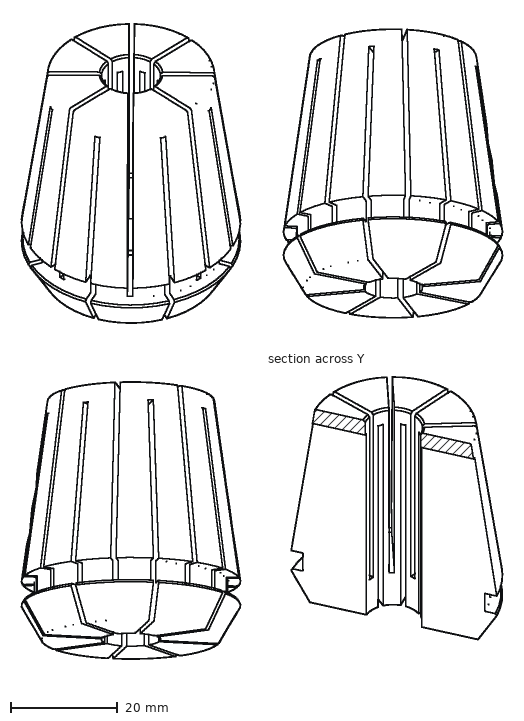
import cadquery as cq
import math

total_height = 46.0
groove_top = 11.2
groove_bottom = 7.0
rim_height = 6.55

body_diameter = 41.0
body_radius = body_diameter / 2
taper_angle = 8.0
taper_drop = (total_height - groove_top) * math.tan(math.radians(taper_angle))
top_radius = body_radius - taper_drop
groove_radius = 18.12
nose_radius = 16.75
rim_bevel = 0.28

top_fillet = 0.5
groove_fillet = 0.2
nose_fillet = 0.2

bore_radius = 5.5
bore_chamfer = 0.4

slots_per_end = 8
slot_pitch = 360.0 / slots_per_end
slot_width = 1.0
lower_slot_top = 42.45
upper_slot_floor = 7.5


def turned_body():
    """Solid of revolution, before the bore and the slots are cut."""
    profile = (
        cq.Workplane("XZ")
        .lineTo(nose_radius, 0)
        .lineTo(body_radius, rim_height)
        .lineTo(body_radius - rim_bevel, groove_bottom)
        .lineTo(groove_radius + groove_fillet, groove_bottom)
        .tangentArcPoint((groove_radius, groove_bottom + groove_fillet), relative=False)
        .lineTo(groove_radius, groove_top - groove_fillet)
        .tangentArcPoint((groove_radius + groove_fillet, groove_top), relative=False)
        .lineTo(body_radius, groove_top)
        .lineTo(top_radius, total_height)
        .lineTo(0, total_height)
        .close()
    )
    body = profile.revolve(360, (0, 0, 0), (0, 1, 0))
    body = body.faces(">Z").edges().fillet(top_fillet)
    return body.faces("<Z").edges().fillet(nose_fillet)


def bore_cutter():
    """Through bore that widens into its chamfer at the top face."""
    mouth_radius = bore_radius + bore_chamfer
    half_profile = (
        cq.Workplane("XZ")
        .lineTo(bore_radius, 0)
        .lineTo(bore_radius, total_height - bore_chamfer)
        .lineTo(mouth_radius, total_height)
        .lineTo(0, total_height)
        .close()
    )
    return half_profile.revolve(360, (0, 0, 0), (0, 1, 0))


def slot_cutters(bottom, top, first_angle):
    """Ring of thin radial blades, reaching from the axis to beyond the body."""
    blade_length = body_radius + slot_width
    blade = cq.Workplane("XY").box(
        blade_length, slot_width, top - bottom, centered=(False, True, False)
    )
    blade = blade.translate((0, 0, bottom))
    blades = cq.Workplane("XY")
    for index in range(slots_per_end):
        angle = first_angle + index * slot_pitch
        blades = blades.add(blade.rotate((0, 0, 0), (0, 0, 1), angle))
    return blades.combine()


lower_slots = slot_cutters(0, lower_slot_top, 0)
upper_slots = slot_cutters(upper_slot_floor, total_height, slot_pitch / 2)

result = turned_body().cut(bore_cutter()).cut(lower_slots).cut(upper_slots)